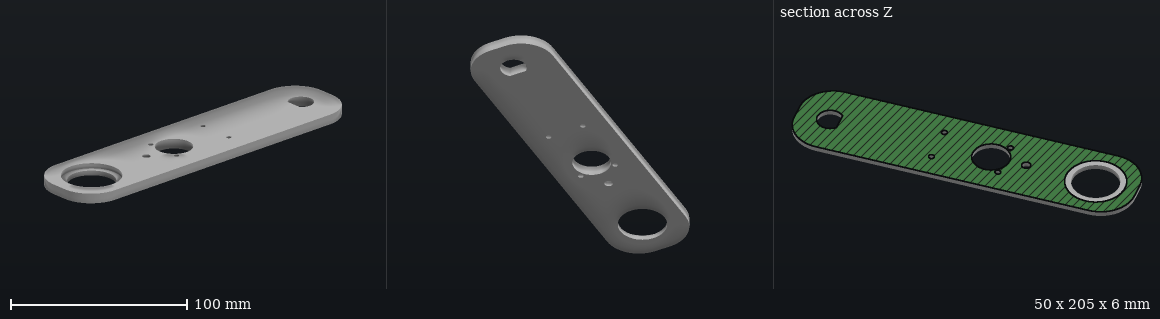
import cadquery as cq

length = 205.0
width = 50.0
thickness = 6.0
corner_radius = 20.3

bearing_y = -77.5
bearing_bore_diameter = 28.0
bearing_seat_diameter = 35.0
bearing_seat_depth = 3.0

motor_y = -14.5
motor_opening_diameter = 22.0
screw_diameter = 3.0
screw_spacing_x = 22.0
screw_spacing_y = 40.0
screw_pattern_y = -2.5
locating_hole_diameter = 5.0
locating_hole_y = -35.7

shaft_y = 82.5
shaft_diameter = 15.2
shaft_flat_offset = 5.5


def through_cylinder(diameter, x, y):
    return cq.Workplane("XY").center(x, y).circle(diameter / 2).extrude(thickness)


def bearing_cutter():
    seat = (
        cq.Workplane("XY", origin=(0, bearing_y, thickness))
        .circle(bearing_seat_diameter / 2)
        .extrude(-bearing_seat_depth)
    )
    return through_cylinder(bearing_bore_diameter, 0, bearing_y).union(seat)


def shaft_cutter():
    round_hole = through_cylinder(shaft_diameter, 0, shaft_y)
    above_flat = (
        cq.Workplane("XY", origin=(0, shaft_y - shaft_flat_offset, 0))
        .rect(shaft_diameter, 2 * shaft_diameter)
        .extrude(thickness)
        .translate((0, shaft_diameter, 0))
    )
    return round_hole.intersect(above_flat)


plate = (
    cq.Workplane("XY")
    .rect(width, length)
    .extrude(thickness)
    .edges("|Z")
    .fillet(corner_radius)
)

result = plate.cut(bearing_cutter()).cut(shaft_cutter())
result = result.cut(through_cylinder(motor_opening_diameter, 0, motor_y))
result = result.cut(through_cylinder(locating_hole_diameter, 0, locating_hole_y))

for side_x in (-1, 1):
    for side_y in (-1, 1):
        screw_x = side_x * screw_spacing_x / 2
        screw_y = screw_pattern_y + side_y * screw_spacing_y / 2
        result = result.cut(through_cylinder(screw_diameter, screw_x, screw_y))